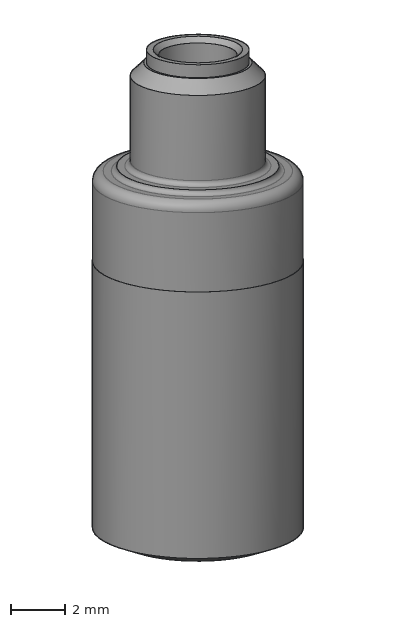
import cadquery as cq
import math

total_height = 19.34

sleeve_radius = 7.81 / 2
body_radius = 7.8 / 2
collar_radius = 3.0
neck_radius = 5.0 / 2
neck_chamfer = 0.5
lip_radius = 3.8 / 2

bore_radius = 2.9 / 2
passage_radius = 2.1 / 2
bore_mouth_chamfer = 0.2

lip_depth = 0.5
collar_depth = 4.5
body_depth = 4.7
sleeve_depth = 8.17
dome_rim_depth = 18.48

root_fillet = 0.2
body_fillet = 0.4

lip_base_z = total_height - lip_depth
collar_top_z = total_height - collar_depth
body_top_z = total_height - body_depth
sleeve_top_z = total_height - sleeve_depth
dome_rim_z = total_height - dome_rim_depth
seat_centre_z = body_top_z

dome_centre_z = (sleeve_radius**2 + dome_rim_z**2 - passage_radius**2) / (2 * dome_rim_z)
dome_radius = math.hypot(passage_radius, dome_centre_z)

DIAGONAL = math.sqrt(0.5)


def dome_point(radius):
    """Point (radius, z) on the lower side of the dome sphere."""
    return (radius, dome_centre_z - math.sqrt(dome_radius**2 - radius**2))


def quarter_round(profile, end, centre, towards):
    """Add a 90 degree arc whose middle lies diagonally from its centre, on the (r, z) side given."""
    radius = math.dist(end, centre)
    middle = (
        centre[0] + towards[0] * radius * DIAGONAL,
        centre[1] + towards[1] * radius * DIAGONAL,
    )
    return profile.threePointArc(middle, end)


def add_root_fillet(profile, radius, floor_z):
    """Continue from the floor at floor_z up into the wall at the given radius."""
    foot_radius = radius + root_fillet
    fillet_top_z = floor_z + root_fillet
    profile = profile.lineTo(foot_radius, floor_z)
    return quarter_round(profile, (radius, fillet_top_z), (foot_radius, fillet_top_z), (-1, -1))


def add_dome_and_body(profile):
    """Dome, sleeve and body, up to the rounded shoulder of the body."""
    mid_radius = (passage_radius + sleeve_radius) / 2
    shoulder_radius = body_radius - body_fillet
    shoulder_z = body_top_z - body_fillet
    profile = (
        profile.threePointArc(dome_point(mid_radius), (sleeve_radius, dome_rim_z))
        .lineTo(sleeve_radius, sleeve_top_z)
        .lineTo(body_radius, sleeve_top_z)
        .lineTo(body_radius, shoulder_z)
    )
    return quarter_round(profile, (shoulder_radius, body_top_z), (shoulder_radius, shoulder_z), (1, 1))


def add_neck(profile):
    """Collar and neck with their root fillets, then the neck chamfer and the lip."""
    profile = add_root_fillet(profile, collar_radius, body_top_z)
    profile = add_root_fillet(profile, neck_radius, collar_top_z)
    return (
        profile.lineTo(neck_radius, lip_base_z - neck_chamfer)
        .lineTo(neck_radius - neck_chamfer, lip_base_z)
        .lineTo(lip_radius, lip_base_z)
        .lineTo(lip_radius, total_height)
    )


def add_bore(profile):
    """Chamfered bore ending in a spherical seat that opens into the narrower passage."""
    seat_depth = math.sqrt(bore_radius**2 - passage_radius**2)
    seat_mid_radius = (bore_radius + passage_radius) / 2
    seat_mid_depth = math.sqrt(bore_radius**2 - seat_mid_radius**2)
    return (
        profile.lineTo(bore_radius + bore_mouth_chamfer, total_height)
        .lineTo(bore_radius, total_height - bore_mouth_chamfer)
        .lineTo(bore_radius, seat_centre_z)
        .threePointArc(
            (seat_mid_radius, seat_centre_z - seat_mid_depth),
            (passage_radius, seat_centre_z - seat_depth),
        )
    )


outline = cq.Workplane("XZ").moveTo(passage_radius, 0)
outline = add_dome_and_body(outline)
outline = add_neck(outline)
outline = add_bore(outline)

result = outline.close().revolve(360, (0, 0, 0), (0, 1, 0))